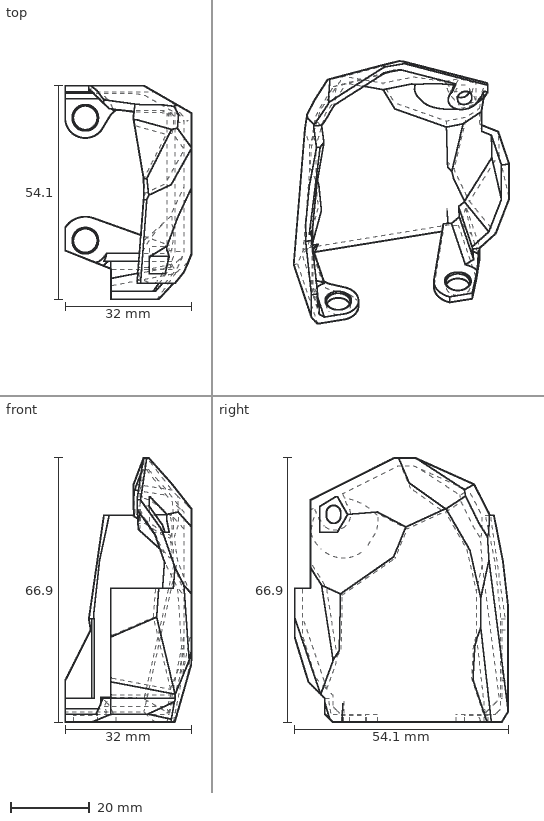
import cadquery as cq
import math

LENGTH_X = 32.0
LENGTH_Y = 54.1
HEIGHT = 66.9
WALL = 2.0
FAR = 100.35
OUT = -0.7
CORE = cq.Vector(20.1, 30.1, 33.45)

FRONT_WALL_X = 11.6
FRONT_WALL_TOP = 33.9
NOTCH_Y = 4.0
LIP_Y = 7.6
LIP_TOP = 6.0
BOTTOM_CHAMFER = 2.0
LIP_CORNER_FACET = [(20.95, LIP_Y, BOTTOM_CHAMFER), (27.4, LIP_Y, 5.0), (26.95, 8.95, 0.7)]
LIP_END = [(OUT, 12.6), (FRONT_WALL_X, 7.7), (FRONT_WALL_X, OUT), (OUT, OUT)]

BACK_WALL_TOP = 52.4
BACK_STEP_Z = 26.1
BACK_END_X = (OUT, 20.1)
BACK_END_Y = (40.15, FAR)
BACK_BOTTOM_CHAMFER = [(0, LENGTH_Y, 2.6), (0.7, LENGTH_Y, 2.6), (0, 52.5, 0)]
BACK_WALL_END = [
    (OUT, 9.2),
    (0, 10.6),
    (6.4, 23.35),
    (5.95, BACK_STEP_Z),
    (9.8, BACK_WALL_TOP),
    (OUT, BACK_WALL_TOP),
]
END_CHAMFER = [(9.8, 49.6, BACK_WALL_TOP), (11.05, 48.4, BACK_WALL_TOP), (6.3, 53.0, BACK_STEP_Z)]
PANEL_X = 6.75
PANEL_DEPTH = 0.4
PANEL_BEVEL = 0.55

RIM_CUT = [
    (OUT, FAR),
    (17.65, FAR),
    (17.65, 49.3),
    (17.2, 46.0),
    (19.8, 30.65),
    (19.9, 25.95),
    (18.2, 4.3),
    (18.2, OUT),
    (OUT, OUT),
]

HOLE_X = 5.1
FRONT_HOLE_Y = 14.85
BACK_HOLE_Y = 45.95
HOLE_DIAMETER = 6.0
HOLE_CHAMFER = 0.35
FRONT_TAB_RADIUS = 6.1
BACK_TAB_RADIUS = 5.15
FRONT_TAB_SLOPE = math.radians(19.7)
BACK_TAB_SLOPE = math.radians(35)
FRONT_CLEARANCE_FOOT = 6.3
FRONT_CLEARANCE_TOP = 8.5
BACK_CLEARANCE_RADIUS = 7.3
BACK_FLOOR_Y = 47.9
BACK_TAB_ROOT = (11.6, 46.75)
BACK_FLOOR_START_X = 12.8
FLOOR_CORNER_START_X = 24.1
FLOOR_CORNER_MIDDLE = (25.75, 47.0)
FLOOR_CORNER_END = (26.4, 44.8)
LEDGE_END_X = 25.75
BACK_FILLET = 1.35

BOSS_Y = 9.9
BOSS_Z = 52.6
BOSS_X = 18.2
BOSS_RADIUS = 3.55
BOSS_LENGTH = 10.7
BOSS_FLARE = 0.9
BOSS_FLARE_RADIUS = BOSS_RADIUS + BOSS_FLARE * BOSS_LENGTH
BOSS_WEB = [(13.5, 54.2), (11.8, 58.9), (NOTCH_Y, 56.2), (6.3, 51.2)]
BOSS_HOLE_WIDTH = 3.55
BOSS_HOLE_HEIGHT = 4.5
NUT_SEAT_X = 21.3
NUT_OUTLINE = [(6.4, 48.05), (10.85, 48.05), (13.45, 52.5), (10.9, 57.0), (6.4, 57.0)]

PEAK = (21.15, 26.35, 66.9)
ROOF_RIDGE = (26.8, 29.05, 60.55)
ROOF_SIDE = (32.0, 38.35, 54.05)
ROOF_FRONT = (28.55, 20.95, 53.2)
RIM_BACK = (18.0, 45.5, 60.2)
RIM_BACK_LOW = (18.0, 49.25, 52.85)
RIM_TOP_BACK = (20.7, 30.65, 66.9)
ROOF_BACK = (26.95, 43.0, 58.8)
ROOF_CORNER = (28.4, 43.2, 57.25)
SIDE_BACK_HIGH = (32.0, 44.4, 43.5)
SIDE_BACK_MID = (32.0, 47.15, 31.45)
BACK_CORNER_HIGH = (27.3, 48.85, 48.3)
BACK_CREASE = (8.5, 52.7, 40.95)
BACK_TOP = (9.9, 50.5, 52.3)
BACK_EDGE = (5.95, 54.1, 30.1)
BACK_FOOT = (19.9, 54.1, 2.7)
SIDE_FRONT_HIGH = (32.0, 28.3, 49.65)
SIDE_FRONT_MID = (32.0, 25.1, 41.8)
SIDE_FRONT_LOW = (32.0, 11.65, 32.45)
EAVE_FRONT = (24.3, 4, 49.2)
FRONT_CORNER_TOP = (23.7, 0, 33.9)
FRONT_CORNER_LOW = (23.15, 0, 26.55)
FRONT_CORNER_SIDE = (30.1, 6.95, 33.9)
FRONT_CORNER_SKIRT = (31.4, 9.8, 15.6)
FRONT_CORNER_FOOT = (27.8, 6.6, 6.95)
FRONT_CREASE = (11.6, 0, 21.55)
FRONT_FOOT = (11.6, 3.55, 10.0)
KEEL = (32.0, 23.1, 14.7)
KEEL_FOOT = (27.75, 23.1, 0)
SKIRT_RIDGE_BACK = (31.9, 44.95, 19.1)
SKIRT_RIDGE_MID = (31.9, 25.4, 14.85)
SKIRT_BACK = (30.85, 44.6, 10.7)
SKIRT_FRONT = (29.1, 11.7, 4.8)

FACETS = [
    (PEAK, ROOF_RIDGE, RIM_TOP_BACK),
    (PEAK, ROOF_RIDGE, ROOF_FRONT),
    (ROOF_RIDGE, ROOF_SIDE, ROOF_FRONT),
    (RIM_BACK, RIM_TOP_BACK, ROOF_BACK),
    (RIM_BACK, RIM_BACK_LOW, ROOF_BACK),
    ((13.4, 25.2, 66.9), (20.1, 25.2, 66.9), (20.1, 3.95, 56.2)),
    ((13.4, 30.6, 66.9), (20.1, 30.6, 66.9), (20.1, 45.5, 60.2)),
    (SIDE_BACK_HIGH, ROOF_SIDE, ROOF_CORNER),
    (SIDE_BACK_MID, SIDE_BACK_HIGH, BACK_CORNER_HIGH),
    (BACK_CREASE, BACK_CORNER_HIGH, BACK_TOP),
    (BACK_EDGE, BACK_FOOT, BACK_CREASE),
    (BACK_FOOT, SIDE_BACK_MID, (32.0, 47.15, 22.75)),
    ((32.0, 47.2, 24.1), (30.85, 45.15, 10.7), (27.95, 49.25, 2.7)),
    (FRONT_CORNER_TOP, FRONT_CORNER_LOW, FRONT_CORNER_SIDE),
    (SIDE_FRONT_LOW, FRONT_CORNER_SIDE, FRONT_CORNER_SKIRT),
    (FRONT_CORNER_SKIRT, FRONT_CORNER_FOOT, (29.1, 12.05, 4.8)),
    (FRONT_CREASE, FRONT_CORNER_LOW, FRONT_FOOT),
    (KEEL, KEEL_FOOT, (27.75, 40.15, 0)),
    ((32.0, 45.1, 21.15), (32.0, 20.55, 15.8), SKIRT_RIDGE_BACK),
    (SKIRT_RIDGE_BACK, SKIRT_RIDGE_MID, SKIRT_BACK),
    ((32.0, 11.8, 17.9), KEEL, SKIRT_FRONT),
]

VALLEY_FACETS = (
    (ROOF_FRONT, SIDE_FRONT_HIGH, SIDE_FRONT_MID),
    (SIDE_FRONT_MID, SIDE_FRONT_LOW, EAVE_FRONT),
)


def box(x, y, z):
    """Axis-aligned block given as (start, end) ranges."""
    block = cq.Workplane().box(x[1] - x[0], y[1] - y[0], z[1] - z[0], centered=False)
    return block.translate((x[0], y[0], z[0]))


def outside(points, inset=0, inner_point=CORE):
    """Everything beyond the plane through three points, moved inward by inset."""
    a, b, c = [cq.Vector(*p) for p in points]
    normal = (b - a).cross(c - a).normalized()
    if normal.dot(a - inner_point) < 0:
        normal = -normal
    origin = a - normal * inset
    return cq.Workplane(cq.Plane(origin, normal=normal)).rect(2 * FAR, 2 * FAR).extrude(FAR)


def facet(block, inset=0):
    """Trim a block by every facet plane, each moved inward by inset."""
    for points in FACETS:
        block = block.cut(outside(points, inset))
    upper, lower = VALLEY_FACETS
    return block.cut(outside(upper, inset).intersect(outside(lower, inset)))


def plan_prism(points, z_low, z_high):
    """Extrude an (X, Y) outline along Z."""
    return cq.Workplane().workplane(offset=z_low).polyline(points).close().extrude(z_high - z_low)


def side_prism(points, x_low, x_high):
    """Extrude a (Y, Z) outline along X."""
    outline = cq.Workplane("YZ").workplane(offset=x_low).polyline(points).close()
    return outline.extrude(x_high - x_low)


def make_skin():
    """Solid outer shape, undercut along the bottom of the front and back."""
    skin = facet(box((0, LENGTH_X), (0, LENGTH_Y), (0, HEIGHT)))
    front_undercut = [
        (OUT, LIP_TOP + LIP_Y + 0.7),
        (LIP_Y, LIP_TOP),
        (LIP_Y, BOTTOM_CHAMFER),
        (LIP_Y + BOTTOM_CHAMFER + 0.7, OUT),
        (OUT, OUT),
    ]
    skin = skin.cut(side_prism(front_undercut, OUT, FAR))
    skin = skin.cut(outside(BACK_BOTTOM_CHAMFER))
    lip_corner = outside(LIP_CORNER_FACET).intersect(box((OUT, FAR), (OUT, FAR), (OUT, LIP_TOP)))
    return skin.cut(lip_corner)


def make_cavity():
    """Inside of the skin, open toward -X and downward."""
    cavity = facet(box((OUT, LENGTH_X - WALL), (WALL, LENGTH_Y - WALL), (OUT, HEIGHT - WALL)), WALL)
    inner_lip_y = LIP_Y + WALL
    inner_lip_top = LIP_TOP + WALL * math.tan(math.radians(22.5))
    front_ledge = [
        (OUT, inner_lip_top + inner_lip_y + 0.7),
        (inner_lip_y, inner_lip_top),
        (inner_lip_y, 2 * WALL),
        (inner_lip_y + 2 * WALL + 0.7, OUT),
        (OUT, OUT),
    ]
    return cavity.cut(side_prism(front_ledge, OUT, FAR))


def make_front_floor():
    """Front mounting tab, running on as the floor below the front wall."""
    arc_x = FRONT_TAB_RADIUS * math.sin(FRONT_TAB_SLOPE)
    arc_y = FRONT_TAB_RADIUS * math.cos(FRONT_TAB_SLOPE)
    start_y = FRONT_HOLE_Y + math.sqrt(FRONT_TAB_RADIUS**2 - HOLE_X**2)
    tangent = (HOLE_X + arc_x, FRONT_HOLE_Y + arc_y)
    end_y = tangent[1] - (LENGTH_X - tangent[0]) * math.tan(FRONT_TAB_SLOPE)
    outline = (
        cq.Workplane()
        .moveTo(0, start_y)
        .threePointArc((HOLE_X, FRONT_HOLE_Y + FRONT_TAB_RADIUS), tangent)
        .lineTo(LENGTH_X, end_y)
        .lineTo(LENGTH_X, 0)
        .lineTo(0, 0)
        .close()
    )
    return outline.extrude(WALL)


def make_back_floor():
    """Back mounting tab, running on as the floor below the back wall."""
    radius = BACK_TAB_RADIUS
    start_y = BACK_HOLE_Y - math.sqrt(radius**2 - HOLE_X**2)
    tangent = (
        HOLE_X + radius * math.cos(BACK_TAB_SLOPE),
        BACK_HOLE_Y - radius * math.sin(BACK_TAB_SLOPE),
    )
    outline = (
        cq.Workplane()
        .moveTo(0, start_y)
        .threePointArc((HOLE_X, BACK_HOLE_Y - radius), tangent)
        .lineTo(*BACK_TAB_ROOT)
        .lineTo(BACK_FLOOR_START_X, BACK_FLOOR_Y)
        .lineTo(FLOOR_CORNER_START_X, BACK_FLOOR_Y)
        .threePointArc(FLOOR_CORNER_MIDDLE, FLOOR_CORNER_END)
        .lineTo(LENGTH_X, FLOOR_CORNER_END[1])
        .lineTo(LENGTH_X, LENGTH_Y)
        .lineTo(0, LENGTH_Y)
        .close()
    )
    return outline.extrude(WALL)


def head_clearance(y, foot_radius, top_radius):
    """Room for a screw head above a tab."""
    foot = cq.Workplane().workplane(offset=WALL).center(HOLE_X, y).circle(foot_radius)
    return foot.workplane(offset=LIP_TOP).circle(top_radius).loft()


def make_back_ledge():
    """Sloping fillets between the floor and the back wall."""
    inner_y = LENGTH_Y - WALL
    small_top = WALL + BACK_FILLET
    small = [(inner_y - BACK_FILLET, WALL), (inner_y, small_top), (LENGTH_Y, small_top), (LENGTH_Y, WALL)]
    rise = inner_y - BACK_FLOOR_Y
    large = [
        (BACK_FLOOR_Y, 0),
        (BACK_FLOOR_Y, WALL),
        (inner_y, WALL + rise),
        (LENGTH_Y, WALL + rise),
        (LENGTH_Y, 0),
    ]
    clearance = head_clearance(BACK_HOLE_Y, BACK_CLEARANCE_RADIUS, BACK_CLEARANCE_RADIUS)
    ledge = side_prism(large, HOLE_X, LEDGE_END_X).cut(clearance)
    return ledge.union(side_prism(small, 0, FRONT_WALL_X))


def make_boss():
    """Flared boss joined to the rim by a web."""
    face = cq.Workplane("YZ").workplane(offset=BOSS_X).center(BOSS_Y, BOSS_Z).circle(BOSS_RADIUS)
    cone = face.workplane(offset=BOSS_LENGTH).circle(BOSS_FLARE_RADIUS).loft()
    return cone.union(side_prism(BOSS_WEB, BOSS_X, BOSS_X + BOSS_LENGTH))


def boss_cuts():
    """Screw slot and the nut pocket behind it."""
    slot = (
        cq.Workplane("YZ")
        .center(BOSS_Y, BOSS_Z)
        .slot2D(BOSS_HOLE_HEIGHT, BOSS_HOLE_WIDTH, 90)
        .extrude(FAR)
    )
    return slot.union(side_prism(NUT_OUTLINE, NUT_SEAT_X, FAR))


def open_side_cuts():
    """Everything removed from the -X side: rim, wall ends, notch and lip corner."""
    cuts = plan_prism(RIM_CUT, BACK_WALL_TOP, FAR)
    front_half = box((OUT, FAR), (OUT, CORE.y), (FRONT_WALL_TOP, FAR))
    cuts = cuts.union(plan_prism(RIM_CUT, FRONT_WALL_TOP, FAR).intersect(front_half))
    cuts = cuts.union(box((OUT, FAR), (OUT, NOTCH_Y), (FRONT_WALL_TOP, FAR)))
    cuts = cuts.union(box((OUT, FRONT_WALL_X), (OUT, CORE.y), (LIP_TOP, FAR)))
    cuts = cuts.union(plan_prism(LIP_END, OUT, LIP_TOP + 0.7))

    bevel = outside(((13.4, 45.5, 60.2), RIM_BACK, RIM_BACK_LOW))
    cuts = cuts.union(bevel.intersect(box(BACK_END_X, BACK_END_Y, (BACK_WALL_TOP, FAR))))

    cuts = cuts.union(cq.Workplane("XZ").polyline(BACK_WALL_END).close().extrude(-FAR))
    end_chamfer = outside(END_CHAMFER, inner_point=cq.Vector(20.1, LENGTH_Y, BACK_STEP_Z))
    return cuts.union(end_chamfer.intersect(box(BACK_END_X, BACK_END_Y, (BACK_STEP_Z, BACK_WALL_TOP))))


def panel_recess():
    """Shallow recess inside the back wall at its open end."""
    inner_y = LENGTH_Y - WALL
    outline = [
        (OUT, inner_y - 0.7),
        (PANEL_X + PANEL_BEVEL, inner_y - 0.7),
        (PANEL_X + PANEL_BEVEL, inner_y),
        (PANEL_X, inner_y + PANEL_DEPTH),
        (OUT, inner_y + PANEL_DEPTH),
    ]
    return plan_prism(outline, LIP_TOP, BACK_STEP_Z)


def tab_hole(y):
    """Countersunk through hole in a mounting tab."""
    radius = HOLE_DIAMETER / 2
    hole = cq.Workplane().center(HOLE_X, y).circle(radius).extrude(WALL)
    flare = cq.Workplane().workplane(offset=WALL).center(HOLE_X, y).circle(radius + HOLE_CHAMFER)
    return hole.union(flare.extrude(-HOLE_CHAMFER, taper=45))


skin = make_skin()
additions = make_front_floor().union(make_back_floor()).union(make_back_ledge()).union(make_boss())
result = skin.cut(make_cavity()).union(additions.intersect(skin))
result = result.cut(open_side_cuts()).cut(boss_cuts()).cut(panel_recess())
result = result.cut(head_clearance(FRONT_HOLE_Y, FRONT_CLEARANCE_FOOT, FRONT_CLEARANCE_TOP))
for hole_y in (FRONT_HOLE_Y, BACK_HOLE_Y):
    result = result.cut(tab_hole(hole_y))